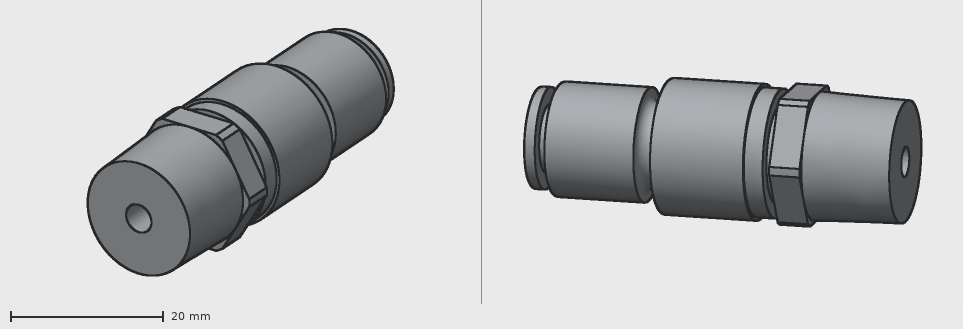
import cadquery as cq
import math

total_length = 50.0
hex_front = 11.8
hex_back = 15.9
spacer_front = 16.15
shoulder_front = 17.05
sleeve_front = 19.6
sleeve_back = 32.3
body_front = 34.85
body_back = 47.05
collar_front = 48.45

thread_tip_radius = 8.1
thread_base_radius = 8.5
stem_radius = 4.5
spacer_radius = 6.6
shoulder_radius = 8.55
sleeve_radius = 9.0
groove_floor_radius = 5.55
groove_rim_radius = 6.75
body_radius = 7.6
collar_radius = 6.75
bore_radius = 2.0

hex_across_flats = 17.0
hex_corner_radius = 9.5
sleeve_round = 0.45
body_round = 0.6
collar_round = 0.45


def disc(radius, start, end):
    """Cylinder about the Y axis between two stations."""
    return cq.Workplane("XZ", origin=(0, start, 0)).circle(radius).extrude(start - end)


def rounded_disc(radius, start, end, edge_round):
    """Cylinder with its rear rim rounded."""
    return disc(radius, start, end).faces(">Y").edges().fillet(edge_round)


def tapered_thread():
    return (
        cq.Workplane("XY")
        .lineTo(thread_tip_radius, 0)
        .lineTo(thread_base_radius, hex_front)
        .lineTo(0, hex_front)
        .close()
        .revolve(360, (0, 0), (0, 1))
    )


def hexagon():
    """Wrench hexagon, flats up and down, its corners turned to a circle."""
    across_corners = hex_across_flats / math.cos(math.pi / 6)
    prism = (
        cq.Workplane("XZ", origin=(0, hex_front, 0))
        .polygon(6, across_corners)
        .extrude(hex_front - hex_back)
    )
    return prism.intersect(disc(hex_corner_radius, hex_front, hex_back))


def grooved_neck():
    """Waist between sleeve and body, with a concave arc profile."""
    middle = (sleeve_back + body_front) / 2
    return (
        cq.Workplane("XY")
        .moveTo(0, sleeve_back)
        .lineTo(groove_rim_radius, sleeve_back)
        .threePointArc((groove_floor_radius, middle), (groove_rim_radius, body_front))
        .lineTo(0, body_front)
        .close()
        .revolve(360, (0, 0), (0, 1))
    )


sections = [
    hexagon(),
    disc(stem_radius, hex_back, spacer_front),
    disc(spacer_radius, spacer_front, shoulder_front),
    disc(shoulder_radius, shoulder_front, sleeve_front),
    rounded_disc(sleeve_radius, sleeve_front, sleeve_back, sleeve_round),
    grooved_neck(),
    rounded_disc(body_radius, body_front, body_back, body_round),
    disc(stem_radius, body_back, collar_front),
    rounded_disc(collar_radius, collar_front, total_length, collar_round),
]

result = tapered_thread()
for section in sections:
    result = result.union(section)

result = result.cut(disc(bore_radius, 0, total_length))